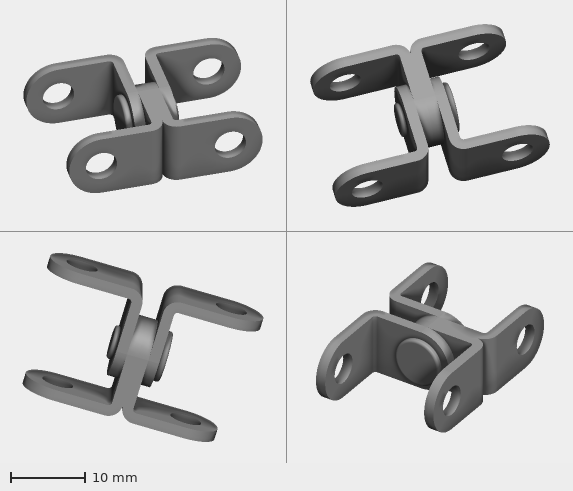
import cadquery as cq

plate = 1.5
width = 9.0
tab_radius = width / 2
half_span = 9.0
leg_length = 13.5
inner_bend = 0.5
outer_bend = inner_bend + plate
leg_hole_diameter = 4.35

tail_diameter = 4.68
tail_height = 0.75
tail_round = 0.35
pin_diameter = tail_diameter - 2 * tail_round
head_diameter = 7.05
head_height = 1.0
head_round = 0.35
stack_half = 2 * plate


def y_cylinder(diameter, start, length):
    """Cylinder on the pivot axis, from y = start towards +Y."""
    plane = cq.Plane(origin=(0, start, 0), xDir=(1, 0, 0), normal=(0, 1, 0))
    return cq.Workplane(plane).circle(diameter / 2).extrude(length)


def bend_plate():
    """Square-ended angle with its tab on y = -plate..0 and its leg at +X, pointing to -Y."""
    bent = (
        cq.Workplane("XY")
        .moveTo(-tab_radius, 0)
        .lineTo(half_span, 0)
        .lineTo(half_span, -leg_length)
        .lineTo(half_span - plate, -leg_length)
        .lineTo(half_span - plate, -plate)
        .lineTo(-tab_radius, -plate)
        .close()
        .extrude(width / 2, both=True)
    )
    outer_corner = (half_span, 0, 0)
    bent = bent.edges(cq.selectors.NearestToPointSelector(outer_corner)).fillet(outer_bend)
    inner_corner = (half_span - plate, -plate, 0)
    bent = bent.edges(cq.selectors.NearestToPointSelector(inner_corner)).fillet(inner_bend)
    return bent


def round_ends(bent):
    """Trim the tab and the leg to full-round ends."""
    straight_part = (
        cq.Workplane("XY")
        .box(half_span, leg_length, width, centered=(False, False, True))
        .translate((0, -leg_length, 0))
    )
    tab_outline = y_cylinder(width, -leg_length, leg_length).union(straight_part)
    leg_center = -leg_length + tab_radius
    leg_outline = (
        cq.Workplane("YZ", origin=(-tab_radius, 0, 0))
        .moveTo(0, tab_radius)
        .lineTo(leg_center, tab_radius)
        .threePointArc((-leg_length, 0), (leg_center, -tab_radius))
        .lineTo(0, -tab_radius)
        .close()
        .extrude(tab_radius + half_span)
    )
    return bent.intersect(tab_outline).intersect(leg_outline)


def drill(bracket):
    """Cut the pivot hole in the tab and the hole in the leg."""
    leg_hole = (
        cq.Workplane("YZ", origin=(half_span - plate, 0, 0))
        .center(-leg_length + tab_radius, 0)
        .circle(leg_hole_diameter / 2)
        .extrude(plate)
    )
    return bracket.cut(y_cylinder(pin_diameter, -plate, plate)).cut(leg_hole)


def make_pin():
    """Straight shank with a wide head at -Y and a small upset tail at +Y, both with rounded rims."""
    shank = y_cylinder(pin_diameter, -stack_half, 2 * stack_half)
    head = y_cylinder(head_diameter, -stack_half - head_height, head_height)
    head = head.edges().fillet(head_round)
    tail = y_cylinder(tail_diameter, stack_half, tail_height)
    tail = tail.edges().fillet(tail_round)
    return shank.union(head).union(tail)


inner_bracket = drill(round_ends(bend_plate()))
outer_bracket = inner_bracket.mirror("YZ").translate((0, -plate, 0))

brackets = []
for front_bracket in (inner_bracket, outer_bracket):
    brackets.append(front_bracket)
    brackets.append(front_bracket.mirror("XZ"))

pin = make_pin()

result = cq.Compound.makeCompound([pin.val(), *[bracket.val() for bracket in brackets]])